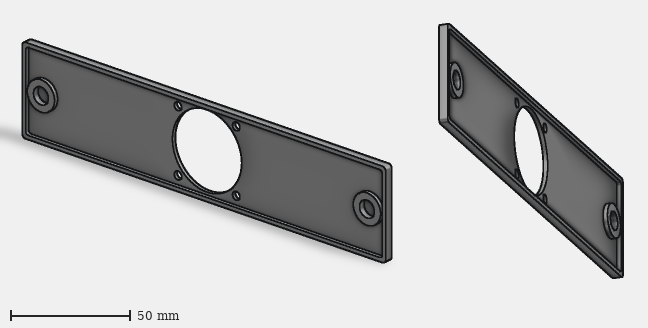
import cadquery as cq

length = 199.6
thickness = 4.0
height = 44.5
corner_radius = 2.0

rim_width = 2.0
recess_depth = 2.0
recess_corner_radius = 1.5

boss_diameter = 15.0
boss_height = recess_depth
boss_hole_diameter = 8.2
boss_hole_depth = 3.0
boss_offset = 89.5

opening_diameter = 38.0
screw_hole_diameter = 4.0
screw_spacing = 32.0

floor_y = recess_depth
boss_top_y = floor_y - boss_height


def front_plane(y):
    """Sketch plane facing -Y at depth y; positive extrusion goes toward -Y."""
    return cq.Workplane("XZ", origin=(0, y, 0))


def rounded_block(size_x, size_z, radius, front_y, depth):
    """Block with rounded corners, reaching back from front_y by depth."""
    block = front_plane(front_y).rect(size_x, size_z).extrude(-depth)
    return block.edges("|Y").fillet(radius)


plate = rounded_block(length, height, corner_radius, 0, thickness)
recess = rounded_block(
    length - 2 * rim_width,
    height - 2 * rim_width,
    recess_corner_radius,
    0,
    recess_depth,
)
plate = plate.cut(recess)

boss_centers = [(-boss_offset, 0), (boss_offset, 0)]
bosses = front_plane(floor_y).pushPoints(boss_centers).circle(boss_diameter / 2).extrude(boss_height)
boss_holes = (
    front_plane(boss_top_y)
    .pushPoints(boss_centers)
    .circle(boss_hole_diameter / 2)
    .extrude(-boss_hole_depth)
)
plate = plate.union(bosses).cut(boss_holes)

opening = front_plane(0).circle(opening_diameter / 2).extrude(-thickness)
screw_holes = (
    front_plane(0)
    .rect(screw_spacing, screw_spacing, forConstruction=True)
    .vertices()
    .circle(screw_hole_diameter / 2)
    .extrude(-thickness)
)

result = plate.cut(opening).cut(screw_holes)